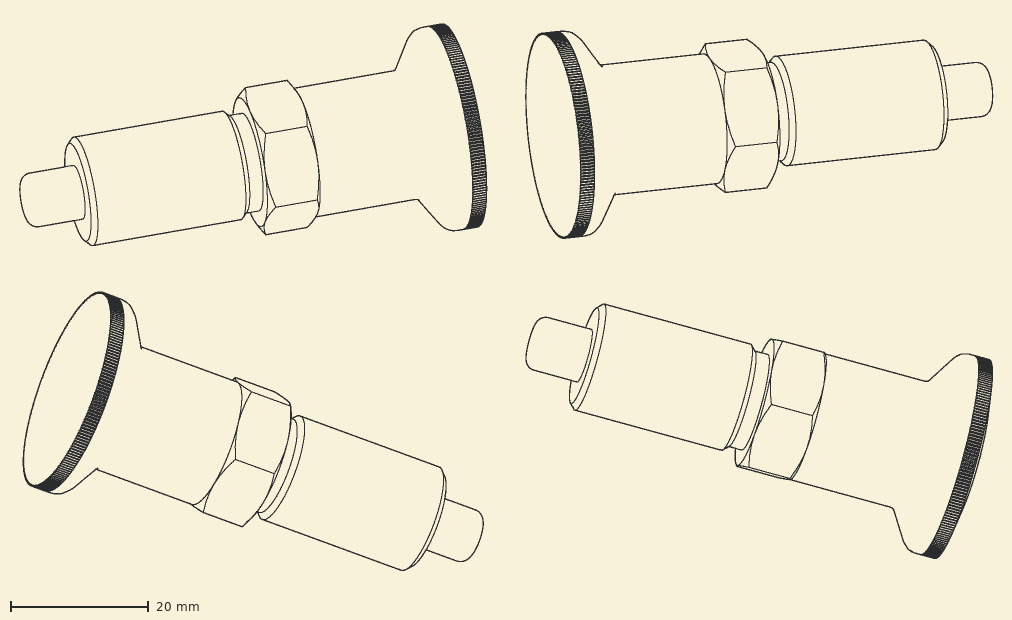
import cadquery as cq
import math

TOTAL_LENGTH = 67.4
FLANGE_RADIUS = 15.0
DOME_RISE = 1.9
KNURL_BOTTOM_DEPTH = 4.0
RIM_DEPTH = 5.9
CONE_ANGLE = 33.5
FLANGE_FILLET = 1.95
SLEEVE_FILLET = 1.0
KNOB_LENGTH = 25.5

TOOTH_COUNT = 200
GROOVE_DEPTH = 0.2
LAND_WIDTH = 0.095

HEX_SIDES = 6
HEX_ACROSS_FLATS = 19.0
HEX_HEIGHT = 7.95
HEX_CHAMFER_ANGLE = 30.0
NECK_RADIUS = 7.2
NECK_LENGTH = 2.8
BARREL_RADIUS = 8.0
BARREL_CHAMFER = 0.8

PIN_RADIUS = 4.0
PIN_PROJECTION = 8.0
PIN_FILLET = 1.5

SLEEVE_RADIUS = HEX_ACROSS_FLATS / 2
HEX_CORNER_RADIUS = SLEEVE_RADIUS / math.cos(math.pi / HEX_SIDES)
DOME_TOP = KNOB_LENGTH
KNURL_TOP = DOME_TOP - DOME_RISE
KNURL_BOTTOM = DOME_TOP - KNURL_BOTTOM_DEPTH
RIM_Y = DOME_TOP - RIM_DEPTH
CONE_DROP = (FLANGE_RADIUS - SLEEVE_RADIUS) * math.tan(math.radians(CONE_ANGLE))
CONE_BOTTOM = RIM_Y - CONE_DROP
DOME_SPHERE_RADIUS = (FLANGE_RADIUS**2 + DOME_RISE**2) / (2 * DOME_RISE)
PIN_TIP = DOME_TOP - TOTAL_LENGTH
BARREL_END = PIN_TIP + PIN_PROJECTION


def revolve_about_y(profile):
    return profile.close().revolve(360, (0, 0, 0), (0, 1, 0))


def cylinder_along_y(radius, y_start, y_end):
    return cq.Workplane("XZ", origin=(0, y_end, 0)).circle(radius).extrude(y_end - y_start)


def edge_circle_at(y):
    """Select the circular edge whose plane lies at the given Y."""
    slab_half_width = 2 * FLANGE_RADIUS
    slab_half_thickness = 0.01
    return cq.selectors.BoxSelector(
        (-slab_half_width, y - slab_half_thickness, -slab_half_width),
        (slab_half_width, y + slab_half_thickness, slab_half_width),
    )


def polar_point(radius, angle):
    return radius * math.cos(angle), radius * math.sin(angle)


def make_knurled_band():
    """Straight V grooves around the rim, with a narrow flat land left between neighbours."""
    pitch_angle = 2 * math.pi / TOOTH_COUNT
    half_land_angle = LAND_WIDTH / (2 * FLANGE_RADIUS)
    outline = []
    for i in range(TOOTH_COUNT):
        groove_angle = i * pitch_angle
        land_angle = groove_angle + pitch_angle / 2
        outline.append(polar_point(FLANGE_RADIUS - GROOVE_DEPTH, groove_angle))
        outline.append(polar_point(FLANGE_RADIUS, land_angle - half_land_angle))
        outline.append(polar_point(FLANGE_RADIUS, land_angle + half_land_angle))
    band = cq.Workplane("XZ", origin=(0, KNURL_TOP, 0)).polyline(outline).close()
    return band.extrude(KNURL_TOP - KNURL_BOTTOM)


def make_knob():
    """Pull knob with dome, knurled band and sleeve."""
    lower = revolve_about_y(
        cq.Workplane("XY")
        .moveTo(0, KNURL_BOTTOM)
        .lineTo(FLANGE_RADIUS, KNURL_BOTTOM)
        .lineTo(FLANGE_RADIUS, RIM_Y)
        .lineTo(SLEEVE_RADIUS, CONE_BOTTOM)
        .lineTo(SLEEVE_RADIUS, 0)
        .lineTo(0, 0)
    )
    lower = lower.edges(edge_circle_at(RIM_Y)).fillet(FLANGE_FILLET)
    lower = lower.edges(edge_circle_at(CONE_BOTTOM)).fillet(SLEEVE_FILLET)

    mid_radius = FLANGE_RADIUS / 2
    mid_y = DOME_TOP - DOME_SPHERE_RADIUS + math.sqrt(DOME_SPHERE_RADIUS**2 - mid_radius**2)
    dome = revolve_about_y(
        cq.Workplane("XY")
        .moveTo(0, KNURL_TOP)
        .lineTo(FLANGE_RADIUS, KNURL_TOP)
        .threePointArc((mid_radius, mid_y), (0, DOME_TOP))
    )
    return lower.union(make_knurled_band()).union(dome)


def make_housing():
    """Hexagon, neck and barrel with the pin at the end."""
    hexagon = cq.Workplane("XZ").polygon(HEX_SIDES, 2 * HEX_CORNER_RADIUS).extrude(HEX_HEIGHT)
    drop = (HEX_CORNER_RADIUS - SLEEVE_RADIUS) * math.tan(math.radians(HEX_CHAMFER_ANGLE))
    envelope = revolve_about_y(
        cq.Workplane("XY")
        .moveTo(0, 0)
        .lineTo(SLEEVE_RADIUS, 0)
        .lineTo(HEX_CORNER_RADIUS, -drop)
        .lineTo(HEX_CORNER_RADIUS, drop - HEX_HEIGHT)
        .lineTo(SLEEVE_RADIUS, -HEX_HEIGHT)
        .lineTo(0, -HEX_HEIGHT)
    )
    hexagon = hexagon.intersect(envelope)
    barrel_start = -HEX_HEIGHT - NECK_LENGTH
    shank = revolve_about_y(
        cq.Workplane("XY")
        .moveTo(0, -HEX_HEIGHT)
        .lineTo(NECK_RADIUS, -HEX_HEIGHT)
        .lineTo(NECK_RADIUS, barrel_start + BARREL_RADIUS - NECK_RADIUS)
        .lineTo(BARREL_RADIUS, barrel_start)
        .lineTo(BARREL_RADIUS, BARREL_END + BARREL_CHAMFER)
        .lineTo(BARREL_RADIUS - BARREL_CHAMFER, BARREL_END)
        .lineTo(0, BARREL_END)
    )
    pin = cylinder_along_y(PIN_RADIUS, PIN_TIP, BARREL_END).faces("<Y").edges().fillet(PIN_FILLET)
    return hexagon.union(shank).union(pin)


knob = make_knob()
housing = make_housing()
result = cq.Compound.makeCompound([knob.val(), housing.val()])